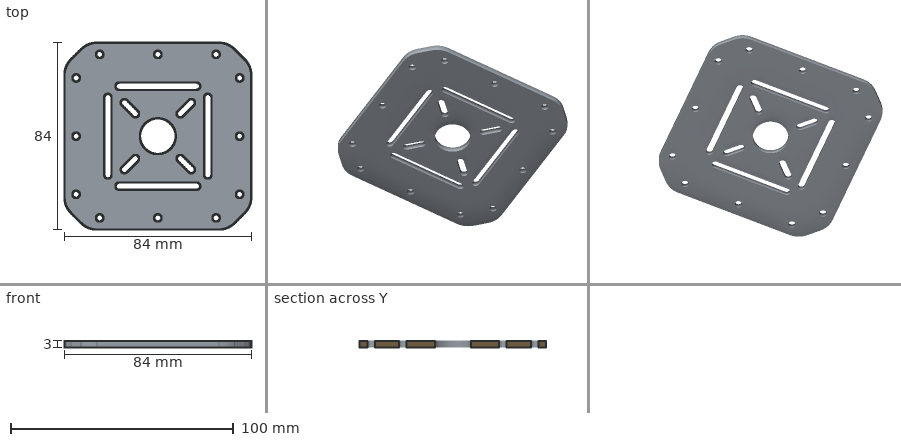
import cadquery as cq

side = 84.0
thickness = 3.0
corner_chamfer = 10.5
corner_radius = 10.0

bore_diameter = 16.0
hole_diameter = 3.2
hole_edge_distance = 5.3
hole_spacing = 26.1
slot_width = 3.2
long_slot_length = 38.0
long_slot_offset = 22.4
short_slot_length = 10.2
short_slot_radius = 17.7

hole_offset = side / 2 - hole_edge_distance


def make_plate():
    """Square plate with chamfered corners, blended into the sides by arcs."""
    plate = cq.Workplane("XY").box(side, side, thickness)
    plate = plate.edges("|Z").chamfer(corner_chamfer)
    return plate.edges("|Z").fillet(corner_radius)


def slot_cutter(length, distance, direction, slot_angle):
    """Through slot centred at a polar position about the plate centre."""
    slot = (
        cq.Workplane("XY")
        .center(distance, 0)
        .slot2D(length, slot_width, slot_angle)
        .extrude(thickness, both=True)
    )
    return slot.rotate((0, 0, 0), (0, 0, 1), direction)


plate = make_plate()
plate = plate.faces(">Z").workplane().hole(bore_diameter)

for position in (-hole_spacing, 0, hole_spacing):
    for edge in (-hole_offset, hole_offset):
        centres = [(position, edge), (edge, position)]
        plate = plate.faces(">Z").workplane(origin=(0, 0, 0)).pushPoints(centres).hole(hole_diameter)

for direction in (0, 90, 180, 270):
    plate = plate.cut(slot_cutter(long_slot_length, long_slot_offset, direction, 90))
    plate = plate.cut(slot_cutter(short_slot_length, short_slot_radius, direction + 45, 0))

result = plate